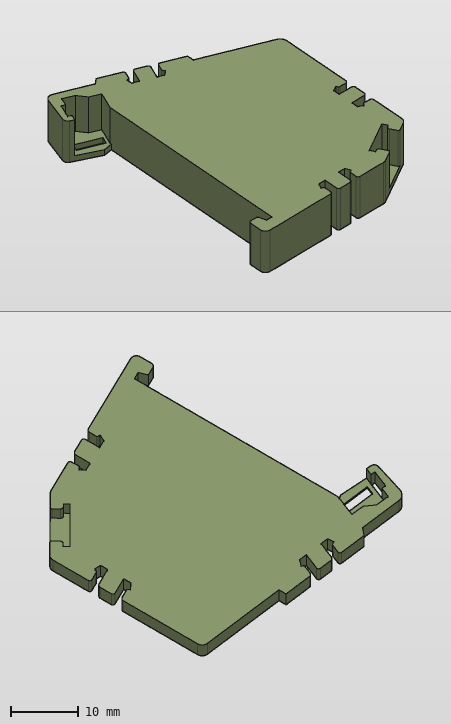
import cadquery as cq
import math

width = 45.55
thickness = 8.0
body_top = 29.95
floor_thickness = 1.1

tilt = 22.0
lean = math.tan(math.radians(tilt))
shoulder_y = 16.7
shoulder_inner_x = 8.55
shoulder_outer_x = 7.35
flank_foot_y = 3.15
flank_notch = (2.65, 2.2)
top_left_round = 1.35

bevel_lean = 30.0
bevel_top_x = 40.5
bevel_slope = math.tan(math.radians(bevel_lean))
bevel_bottom_y = body_top - (width - bevel_top_x) / bevel_slope
bevel_round = 1.0

hook_inner_x = 43.5
hook_tip_x = 42.0
hook_throat_y = -1.1
hook_tip_y = -1.55
hook_bottom_y = -3.33
hook_outer_round = 1.05
hook_tip_round = 0.45

foot_left_corner = (-0.35, -5.25)
foot_right_corner = (6.05, -7.25)
foot_nose = (8.75, -1.65)
foot_seat_x = 8.5
foot_left_round = 1.1
foot_right_round = 0.85

tongue_width = 2.8
tongue_half_width = tongue_width / 2
slot_width = 1.25
slot_depth = 2.9
barb_depth = 2.0
barb_reach = 0.45
clip_round = 0.4
barb_round = 0.25
barb_start = barb_depth - barb_reach / 2
flank_clip_y = 9.85
top_clip_x = 30.75
right_clip_y = 13.07

recess_center_y = 25.6
recess_half_mouth = 2.45
recess_half_width = 3.25
recess_depth = 3.0
recess_lip = 2.0
recess_mouth_round = 0.27
recess_lip_round = 0.4

pocket_top_corner = (5.05, 1.28)
pocket_seat_corner = (8.25, 0.0)
pocket_bottom_corner = (1.78, -3.83)
pocket_step = [(2.65, -1.8), (4.25, -0.65)]
pocket_margin = 9.1
long_window_corner = (6.5, 0.15)
long_window_size = (1.3, 4.75)
lip_window_offset = 1.55
lip_window_size = (2.65, 0.7)


def toward(start, end, distance):
    """Point at a distance from start on the way to end."""
    ratio = distance / math.dist(start, end)
    return (start[0] + ratio * (end[0] - start[0]), start[1] + ratio * (end[1] - start[1]))


def rounded_prism(corners, bottom, height):
    """Extrude a closed outline of (x, y, radius) corners; radius 0 leaves a corner sharp."""
    wire = None
    for i, (x, y, radius) in enumerate(corners):
        corner = (x, y)
        before = corners[i - 1][:2]
        after = corners[(i + 1) % len(corners)][:2]
        entry = exit_point = corner
        if radius:
            to_before = math.atan2(before[1] - y, before[0] - x)
            to_after = math.atan2(after[1] - y, after[0] - x)
            half_angle = abs(math.remainder(to_before - to_after, 2 * math.pi)) / 2
            setback = radius / math.tan(half_angle)
            entry = toward(corner, before, setback)
            exit_point = toward(corner, after, setback)
        if wire is None:
            wire = cq.Workplane("XY").workplane(offset=bottom).moveTo(*entry)
        else:
            wire = wire.lineTo(*entry)
        if radius:
            middle = ((entry[0] + exit_point[0]) / 2, (entry[1] + exit_point[1]) / 2)
            arc_gap = radius / math.sin(half_angle) - radius
            wire = wire.threePointArc(toward(corner, middle, arc_gap), exit_point)
    return wire.close().extrude(height)


def place(profile, origin, angle):
    """Put (along, depth, radius) corners on a face running at an angle, depth to its right."""
    c = math.cos(math.radians(angle))
    s = math.sin(math.radians(angle))
    return [(origin[0] + a * c + d * s, origin[1] + a * s - d * c, r) for a, d, r in profile]


def mirrored(half):
    """Complete a symmetric profile from its first half."""
    return half + [(-a, d, r) for a, d, r in reversed(half)]


def clip(origin, angle):
    """Corners of a marker clip centred at origin, in the running direction of the face."""
    slot_wall = tongue_half_width + slot_width
    half = [
        (-slot_wall, 0, clip_round),
        (-slot_wall, barb_start, barb_round),
        (-slot_wall - barb_reach, barb_depth, 0),
        (-slot_wall, slot_depth, 0),
        (-tongue_half_width, slot_depth, 0),
        (-tongue_half_width, 0, clip_round),
    ]
    return place(mirrored(half), origin, angle)


def flank_x(y):
    """X of the outer left flank at height y."""
    return shoulder_outer_x - (shoulder_y - y) * lean


def body():
    """Full-thickness plate with the clips, hook and foot, listed clockwise from the left foot corner."""
    top_left_x = shoulder_inner_x + (body_top - shoulder_y) * lean
    outline = [
        (*foot_left_corner, foot_left_round),
        (*flank_notch, 0),
        (flank_x(flank_foot_y), flank_foot_y, 0),
        *clip((flank_x(flank_clip_y), flank_clip_y), 90 - tilt),
        (shoulder_outer_x, shoulder_y, 0),
        (shoulder_inner_x, shoulder_y, 0),
        (top_left_x, body_top, top_left_round),
        *clip((top_clip_x, body_top), 0),
        (bevel_top_x, body_top, bevel_round),
        (width, bevel_bottom_y, bevel_round),
        *clip((width, right_clip_y), -90),
        (width, hook_bottom_y, hook_outer_round),
        (hook_tip_x, hook_bottom_y, hook_tip_round),
        (hook_tip_x, hook_tip_y, 0),
        (hook_inner_x, hook_throat_y, 0),
        (hook_inner_x, 0, 0),
        (foot_seat_x, 0, 0),
        (*foot_nose, 0),
        (*foot_right_corner, foot_right_round),
    ]
    return rounded_prism(outline, 0, thickness)


def bevel_recess():
    """Undercut recess opening through the bevel, above the floor."""
    clearance = 0.45
    half = [
        (-recess_half_mouth - clearance, -clearance, 0),
        (-recess_half_mouth - clearance, 0, 0),
        (-recess_half_mouth, 0, recess_mouth_round),
        (-recess_half_mouth, recess_lip, recess_lip_round),
        (-recess_half_width, recess_lip, 0),
        (-recess_half_width, recess_depth, 0),
    ]
    center_x = bevel_top_x + (body_top - recess_center_y) * bevel_slope
    profile = place(mirrored(half), (center_x, recess_center_y), bevel_lean - 90)
    return rounded_prism(profile, floor_thickness, thickness)


def foot_pocket():
    """Pocket above the foot's floor, open toward the rail."""
    open_x = pocket_bottom_corner[0] + pocket_margin
    open_y = pocket_bottom_corner[1] - pocket_margin * lean
    points = [
        pocket_bottom_corner,
        *pocket_step,
        pocket_top_corner,
        pocket_seat_corner,
        (open_x, 0),
        (open_x, open_y),
    ]
    return rounded_prism([(x, y, 0) for x, y in points], floor_thickness, thickness)


def tilted_window(corner, size):
    """Through window leaning with the flank, hung from its top left corner."""
    length, drop = size
    profile = [(0, 0, 0), (length, 0, 0), (length, drop, 0), (0, drop, 0)]
    return rounded_prism(place(profile, corner, -tilt), 0, thickness)


lip_direction = math.radians(-tilt)
lip_window_corner = (
    pocket_bottom_corner[0] + lip_window_offset * math.cos(lip_direction),
    pocket_bottom_corner[1] + lip_window_offset * math.sin(lip_direction),
)

result = (
    body()
    .cut(bevel_recess())
    .cut(foot_pocket())
    .cut(tilted_window(long_window_corner, long_window_size))
    .cut(tilted_window(lip_window_corner, lip_window_size))
)